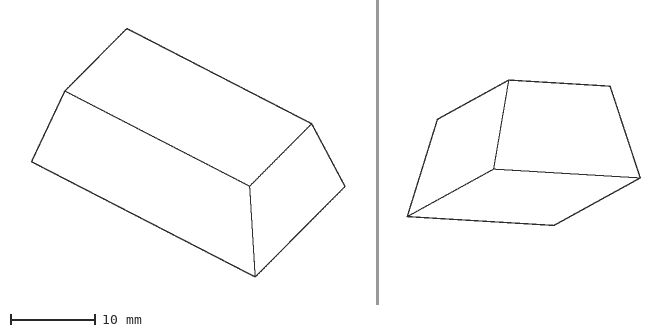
import cadquery as cq

base_length = 32.6
base_width = 18.3
height = 11.4

wall_inset = 2.85

top_length = base_length - 2 * wall_inset
top_width = base_width - 2 * wall_inset

result = (
    cq.Workplane("XY")
    .rect(base_length, base_width)
    .workplane(offset=height)
    .rect(top_length, top_width)
    .loft(ruled=True, combine=True)
)